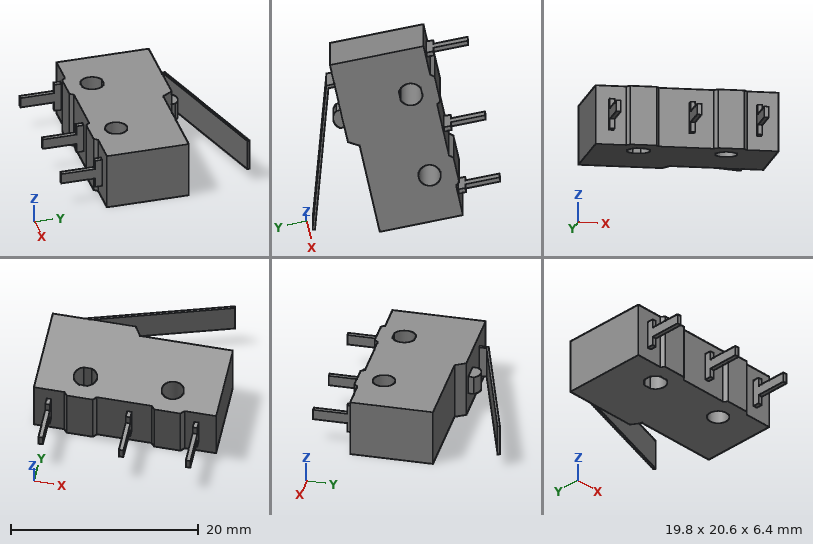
import cadquery as cq
import math


body_length = 19.8
body_thickness = 6.4
body_height = 10.2
step_drop = 1.13
step_start_x = 9.02
step_end_x = 9.7

ridge_depth = 0.41
ridge_top_width = 2.85
ridges = [(5.09, 3.52), (14.58, 3.58)]

hole_y = 2.5
hole_diameter = 2.39
flatted_hole_x = 5.1
flatted_hole_width = 2.51
flat_length = 0.87
round_hole_x = 14.58

terminal_xs = [1.65, 10.38, 17.65]
terminal_thickness = 0.5
terminal_length = 4.5
blade_width = 1.17
shoulder_length = 0.76
shoulder_width = 3.25

plunger_x = 7.13
plunger_width = 2.02
plunger_side_height = 0.62
plunger_height = 1.17
plunger_thickness = 2.05

lever_width = 3.52
lever_x = 2.78
lever_stem_height = 0.99
lever_stem_thickness = 0.35
lever_thickness = 0.27
lever_angle = math.radians(17.3)
lever_rise = 4.92


def extrude_centred(outline, thickness):
    """Extrude a closed XY outline equally to both sides of Z = 0."""
    return outline.extrude(thickness / 2, both=True)


def make_housing():
    outline = cq.Workplane("XY").polyline([
        (0, 0),
        (body_length, 0),
        (body_length, body_height - step_drop),
        (step_end_x, body_height - step_drop),
        (step_start_x, body_height),
        (0, body_height),
    ]).close()
    return extrude_centred(outline, body_thickness)


def make_ridge(centre_x, root_width):
    outline = cq.Workplane("XY").polyline([
        (centre_x - root_width / 2, 0),
        (centre_x - ridge_top_width / 2, -ridge_depth),
        (centre_x + ridge_top_width / 2, -ridge_depth),
        (centre_x + root_width / 2, 0),
    ]).close()
    return extrude_centred(outline, body_thickness)


def make_flatted_hole():
    """Hole with short flats facing +Y and -Y, joined by arcs at its two ends."""
    half_flat = flat_length / 2
    half_width = flatted_hole_width / 2
    radius = hole_diameter / 2
    outline = (
        cq.Workplane("XY")
        .center(flatted_hole_x, hole_y)
        .moveTo(-half_flat, -radius)
        .lineTo(half_flat, -radius)
        .threePointArc((half_width, 0), (half_flat, radius))
        .lineTo(-half_flat, radius)
        .threePointArc((-half_width, 0), (-half_flat, -radius))
        .close()
    )
    return extrude_centred(outline, body_thickness)


def make_round_hole():
    outline = cq.Workplane("XY").center(round_hole_x, hole_y).circle(hole_diameter / 2)
    return extrude_centred(outline, body_thickness)


def make_terminal(centre_x):
    blade = cq.Workplane("XY").box(terminal_thickness, terminal_length, blade_width)
    shoulder = cq.Workplane("XY").box(terminal_thickness, shoulder_length, shoulder_width)
    blade = blade.translate((centre_x, -terminal_length / 2, 0))
    shoulder = shoulder.translate((centre_x, -shoulder_length / 2, 0))
    return blade.union(shoulder)


def make_plunger():
    left = plunger_x - plunger_width / 2
    right = plunger_x + plunger_width / 2
    side_top = body_height + plunger_side_height
    outline = (
        cq.Workplane("XY")
        .moveTo(left, body_height)
        .lineTo(right, body_height)
        .lineTo(right, side_top)
        .threePointArc((plunger_x, body_height + plunger_height), (left, side_top))
        .close()
    )
    return extrude_centred(outline, plunger_thickness)


def make_lever():
    bend_y = body_height + lever_stem_height
    inner_x = lever_x + lever_stem_thickness
    inner_y = (
        bend_y
        + lever_stem_thickness * math.tan(lever_angle)
        - lever_thickness / math.cos(lever_angle)
    )
    tip_x = lever_x + lever_rise / math.tan(lever_angle)
    tip_y = bend_y + lever_rise
    tip_offset_x = lever_thickness * math.sin(lever_angle)
    tip_offset_y = lever_thickness * math.cos(lever_angle)
    outline = cq.Workplane("XY").polyline([
        (lever_x, body_height),
        (lever_x, bend_y),
        (tip_x, tip_y),
        (tip_x + tip_offset_x, tip_y - tip_offset_y),
        (inner_x, inner_y),
        (inner_x, body_height),
    ]).close()
    return extrude_centred(outline, lever_width)


result = make_housing()
for ridge_x, ridge_root_width in ridges:
    result = result.union(make_ridge(ridge_x, ridge_root_width))
result = result.cut(make_flatted_hole()).cut(make_round_hole())
for terminal_x in terminal_xs:
    result = result.union(make_terminal(terminal_x))
result = result.union(make_plunger()).union(make_lever())